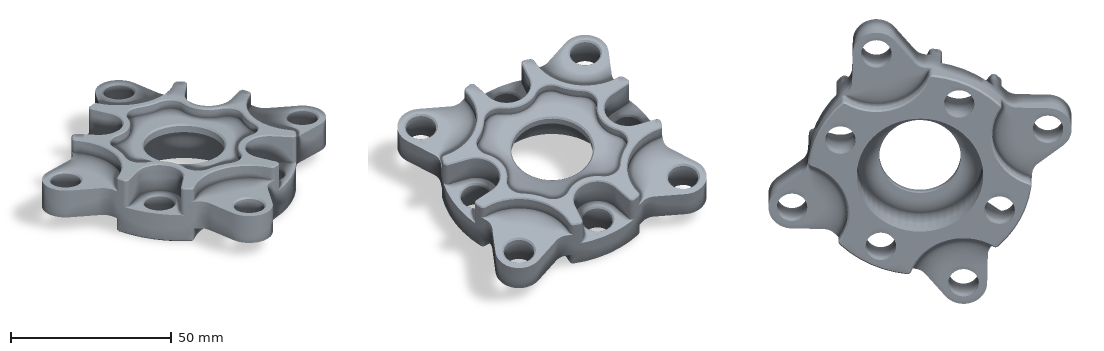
import cadquery as cq
import math

level = 4.75
height = 4 * level
lug_bottom = level
lug_top = 3 * level
bay_floor = 2 * level

body_radius = 35.0
bore_diameter = 25.4
counterbore_diameter = 39.4
recess_floor = 15.75
counterbore_top = 13.0

side = 74.3
lug_radius = 7.35
lug_offset = side / 2 - lug_radius
lug_half_taper = 20.0
neck_fillet = 5.0
scoop_radius = 17.4

bay_offset = 27.6
bay_radius = 7.4
bay_half_taper = 10.0

wall = 2.4
lobe_radius = 5.0

hole_diameter = 9.5
mouth_fillet = 1.25
hole_chamfer = 0.5
chamfer_angle = 45
rim_chamfer = 0.4
bottom_chamfer = 0.5

quarters = range(4)
quarter_turn = 90
diagonal = quarter_turn / 2
tolerance = 0.01


def polar(radius, degrees):
    angle = math.radians(degrees)
    return radius * math.cos(angle), radius * math.sin(angle)


corner_points = [(sx * lug_offset, sy * lug_offset) for sx in (-1, 1) for sy in (-1, 1)]
bay_points = [polar(bay_offset, quarter_turn * quarter) for quarter in quarters]


def rotated(solid, degrees):
    return solid.rotate((0, 0, 0), (0, 0, 1), degrees)


def slab(bottom, top):
    """Workplane at the given height and the thickness up to the top."""
    return cq.Workplane("XY").workplane(offset=bottom), top - bottom


def disc(bottom, top):
    """Round body, turned so that its seam lies on a diagonal, where a scoop or a lug removes it."""
    plane, thickness = slab(bottom, top)
    return rotated(plane.circle(body_radius).extrude(thickness), diagonal)


def on_rim(edge):
    """True for an upright edge on the cylindrical outside of the body."""
    centre = edge.Center()
    return abs(math.hypot(centre.x, centre.y) - body_radius) < tolerance


def fillet_rim(solid, radius, keep=on_rim):
    return solid.edges("|Z").filter(keep).fillet(radius)


def tongue(centre_distance, radius, half_taper, reach, bottom, top):
    """Round nose on the X axis with straight tapered flanks that spread towards x = reach."""
    plane, thickness = slab(bottom, top)
    spread = 90 + half_taper if reach > centre_distance else 90 - half_taper
    dx, dy = polar(radius, spread)
    tangent_x = centre_distance + dx
    end_y = dy + abs(reach - tangent_x) * math.tan(math.radians(half_taper))
    nose_x = centre_distance + math.copysign(radius, centre_distance - reach)
    return (
        plane.moveTo(reach, -end_y)
        .lineTo(tangent_x, -dy)
        .threePointArc((nose_x, 0), (tangent_x, dy))
        .lineTo(reach, end_y)
        .close()
        .extrude(thickness)
    )


def core():
    plane, thickness = slab(0, height)
    scoops = plane.pushPoints(corner_points).circle(scoop_radius).extrude(thickness)
    return fillet_rim(disc(0, height).cut(scoops), mouth_fillet)


def lug_plate():
    plate = disc(lug_bottom, lug_top)
    lug_distance = math.hypot(lug_offset, lug_offset)
    lug_root = body_radius / 2
    lug = tongue(lug_distance, lug_radius, lug_half_taper, lug_root, lug_bottom, lug_top)
    for quarter in quarters:
        plate = plate.union(rotated(lug, diagonal + quarter_turn * quarter))
    return fillet_rim(plate, neck_fillet)


def cut_bays(solid):
    bay = tongue(bay_offset, bay_radius, bay_half_taper, side / 2, bay_floor, height)
    for quarter in quarters:
        solid = solid.cut(rotated(bay, quarter_turn * quarter))

    mouth_limit = bay_radius + wall

    def at_bay_mouth(edge):
        centre = edge.Center()
        return on_rim(edge) and min(abs(centre.x), abs(centre.y)) < mouth_limit

    return fillet_rim(solid, mouth_fillet, at_bay_mouth)


def towards(start, end, distance):
    """Point at the given distance from start on the line to end."""
    length = math.dist(start, end)
    return tuple(s + (e - s) * distance / length for s, e in zip(start, end))


def turned(point, quarter):
    """Point turned about the origin by a number of quarter turns."""
    x, y = point
    for _ in range(quarter):
        x, y = -y, x
    return x, y


def star_recess():
    """Recess whose outline follows the scoops and bays at one wall thickness, joined by round lobes."""
    scoop_side = scoop_radius + wall
    bay_side = bay_radius + wall
    corner = (lug_offset, lug_offset)

    to_bay = bay_side + lobe_radius
    to_corner = scoop_side + lobe_radius
    span_x = lug_offset - bay_offset
    span = math.hypot(span_x, lug_offset)
    along = (to_bay**2 - to_corner**2 + span**2) / (2 * span)
    across = math.sqrt(to_bay**2 - along**2)
    lobe = (
        bay_offset + (along * span_x - across * lug_offset) / span,
        (along * lug_offset + across * span_x) / span,
    )

    bay_joint = towards(lobe, (bay_offset, 0), lobe_radius)
    corner_joint = towards(lobe, corner, lobe_radius)
    lobe_tip = towards(lobe, (0, 0), -lobe_radius)
    scoop_middle = towards(corner, (0, 0), scoop_side)

    plane, thickness = slab(recess_floor, height)
    outline = plane.moveTo(bay_joint[0], -bay_joint[1])
    for quarter in quarters:
        stops = [
            ((bay_offset - bay_side, 0), bay_joint),
            (lobe_tip, corner_joint),
            (scoop_middle, corner_joint[::-1]),
            (lobe_tip[::-1], bay_joint[::-1]),
        ]
        for middle, end in stops:
            outline = outline.threePointArc(turned(middle, quarter), turned(end, quarter))
    return outline.close().extrude(thickness)


def countersunk(points, diameter, top):
    """Cutter for through holes with a small chamfer where they open at the given height."""
    holes = cq.Workplane("XY").pushPoints(points).circle(diameter / 2).extrude(top)
    plane, depth = slab(top - hole_chamfer, top)
    flare = plane.pushPoints(points).circle(diameter / 2).extrude(depth, taper=-chamfer_angle)
    return holes.union(flare)


counterbore = cq.Workplane("XY").circle(counterbore_diameter / 2).extrude(counterbore_top)

result = cut_bays(core().union(lug_plate()).clean())
result = result.faces("<Z").edges().chamfer(bottom_chamfer)
result = result.cut(star_recess())
result = result.faces(">Z").edges().chamfer(rim_chamfer)
result = result.cut(countersunk([(0, 0)], bore_diameter, recess_floor))
result = result.cut(counterbore)
result = result.cut(countersunk(corner_points, hole_diameter, lug_top))
result = result.cut(countersunk(bay_points, hole_diameter, bay_floor))